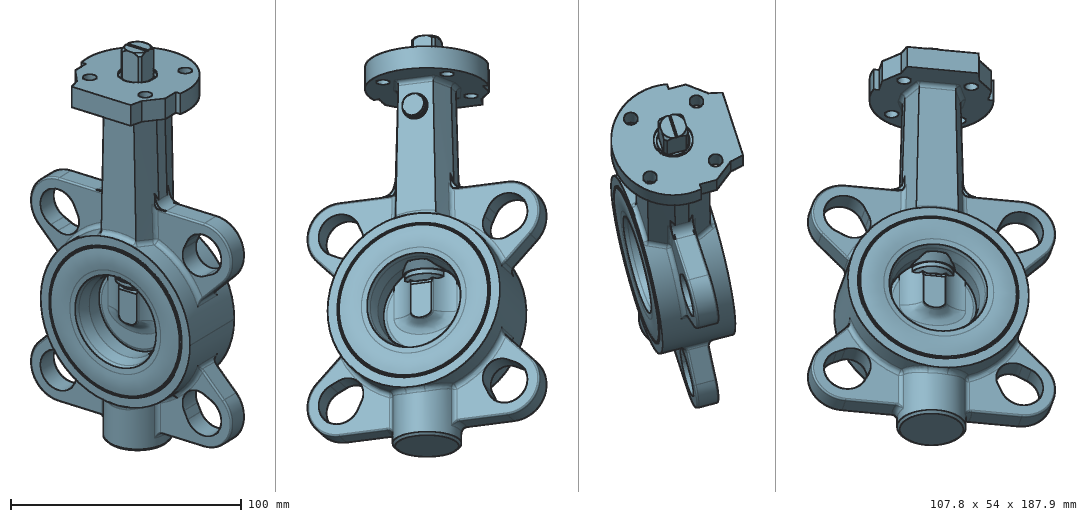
import cadquery as cq
import math


DIAGONAL = math.sqrt(0.5)

RING_RADIUS = 40.0
RING_LENGTH = 33.0
SEAT_GROOVE_RADIUS = 35.5
SEAT_GROOVE_DEPTH = 1.0
LINER_RADIUS = 35.0
LINER_EDGE_CHAMFER = 0.5
LINER_EDGE_PROUD = 0.2
LINER_PROUD = 0.7
LINER_MOUTH_RADIUS = 24.3
LINER_THROAT_RADIUS = 21.7
LINER_THROAT_DROP = 0.2
LINER_TAPER_RADIUS = 21.0
LINER_TAPER_DROP = 2.0
BORE_RADIUS = 19.5
BORE_HALF_LENGTH = 9.0
STEM_SEAT_TOP_Z = 20.0
STEM_SEAT_TOP_RADIUS = 13.0
STEM_SEAT_RADIUS = 10.2

DISC_FLAT_RADIUS = 18.0
DISC_HALF_THICKNESS = 2.0
DISC_RIM_HALF_THICKNESS = 1.4
DISC_SQUEEZE = 0.4
HUB_HALF_WIDTH = 4.75
HUB_HALF_THICKNESS = 7.3
HUB_WALL_TOP_INSET = 0.55
HUB_WALL_HEIGHT = 0.7
HUB_BASE_HALF_WIDTH = 14.6
HUB_END_Z = -1.9
HUB_END_FLATTENING = 0.6
HUB_TOP_Z = 12.5
HUB_TOP_CHAMFER = 1.5
HUB_TOP_CHAMFER_DEPTH = 0.5
COLLAR_RADIUS = 9.7
COLLAR_CONE_RADIUS = 7.5
COLLAR_TOP_Z = 16.6
COLLAR_CONE_TOP_Z = 14.4
COLLAR_BOTTOM_Z = 12.2

LUG_THICKNESS = 10.0
LUG_RADIUS = 15.0
LUG_PITCH_RADIUS = 55.0
LUG_HOLE_RADIUS = 9.5
LUG_EDGE_Z = LUG_PITCH_RADIUS * DIAGONAL + LUG_RADIUS
LUG_INNER_PITCH_RADIUS = 50.5
LUG_INNER_HOLE_RADIUS = 8.0
LUG_EDGE_ROUND = 0.8
NECK_GUSSET_RADIUS = 5.0
NECK_GUSSET_START_X = 18.4
NECK_GUSSET_SWEEP = 75.0
CAST_ROUND = 2.25
NECK_HEAD_ROUND = 2.0

NECK_FOOT_Z = 30.0
NECK_HEAD_Z = 103.1
NECK_FOOT_HALF_WIDTH = 14.4
NECK_HEAD_HALF_WIDTH = 12.25
NECK_FOOT_FLAT_HALF_WIDTH = 9.5
NECK_HEAD_FLAT_HALF_WIDTH = 8.0
NECK_HALF_DEPTH = 14.0
NECK_SIDE_HALF_DEPTH = 3.1

STUB_RADIUS = 15.0
STUB_BOTTOM_Z = -61.9
STUB_EDGE_CHAMFER = 1.2

FLANGE_TOP_Z = 113.1
FLANGE_THICKNESS = FLANGE_TOP_Z - NECK_HEAD_Z
FLANGE_RADIUS = 27.0
FLANGE_STEP_Y = -5.0
FLANGE_WAIST_HALF_WIDTH = 24.1
FLANGE_WAIST_END_Y = -12.7
FLANGE_TONGUE_ROOT = (17.3, -20.9)
FLANGE_TONGUE_HALF_WIDTH = 15.8
FLANGE_HOLE_CIRCLE_RADIUS = 21.0
FLANGE_HOLE_COUNT = 4
FLANGE_FIRST_HOLE_ANGLE = 45.0
FLANGE_HOLE_DIAMETER = 6.0
STEM_RECESS_DIAMETER = 17.0
STEM_RECESS_DEPTH = 1.0
STEM_BORE_DIAMETER = 14.35
STEM_BORE_DEPTH = 2.0

STEM_TOP_Z = 126.0
STEM_SQUARE = 11.0
STEM_DIAMETER = 14.0
STEM_CHAMFER = 1.3
MARK_WIDTH = 0.8
MARK_DEPTH = 0.3

PLUG_Z = 90.2
PLUG_BASE_DIAMETER = 11.2
PLUG_HEAD_DIAMETER = 10.0
PLUG_BASE_HEIGHT = 1.5
PLUG_HEIGHT = 3.4

TOUCH = 0.05

CORNERS = [(x, z) for x in (-1, 1) for z in (-1, 1)]


def mirror_x(body):
    """The body joined with its mirror image across the X = 0 plane."""
    return body.union(body.mirror("YZ"))


def mirror_y(body):
    """The body joined with its mirror image across the Y = 0 plane."""
    return body.union(body.mirror("XZ"))


def neck_section(z, half_width, flat_half_width):
    """Eight-sided neck outline at height z."""
    quarter = [(flat_half_width, NECK_HALF_DEPTH), (half_width, NECK_SIDE_HALF_DEPTH)]
    right = quarter + [(x, -y) for x, y in reversed(quarter)]
    left = [(-x, -y) for x, y in right]
    return cq.Workplane("XY", origin=(0, 0, z)).polyline(right + left).close()


def neck():
    """Tapered neck from inside the ring up to the flange."""
    foot = neck_section(NECK_FOOT_Z, NECK_FOOT_HALF_WIDTH, NECK_FOOT_FLAT_HALF_WIDTH).wires().vals()[0]
    head = neck_section(NECK_HEAD_Z, NECK_HEAD_HALF_WIDTH, NECK_HEAD_FLAT_HALF_WIDTH).wires().vals()[0]
    return cq.Workplane(cq.Solid.makeLoft([foot, head], True))


def lug_arm():
    """Upper right lug: a round end, a level top edge and a 45 degree edge down to the ring."""
    centre = LUG_PITCH_RADIUS * DIAGONAL
    slant_offset = LUG_RADIUS * DIAGONAL
    slant = (centre + slant_offset, centre - slant_offset)
    outer_middle = (centre + slant_offset, centre + slant_offset)
    return (
        cq.Workplane("XZ", origin=(0, LUG_THICKNESS / 2, 0))
        .lineTo(0, LUG_EDGE_Z)
        .lineTo(centre, LUG_EDGE_Z)
        .threePointArc(outer_middle, slant)
        .lineTo(slant[0] - slant[1], 0)
        .close()
        .extrude(LUG_THICKNESS)
    )


def neck_gusset():
    """Curved fillet between the top edge of the upper right lug and the neck."""

    def on_curve(degrees):
        sweep = math.radians(degrees)
        return (
            NECK_GUSSET_START_X - NECK_GUSSET_RADIUS * math.sin(sweep),
            LUG_EDGE_Z + NECK_GUSSET_RADIUS * (1 - math.cos(sweep)),
        )

    end = on_curve(NECK_GUSSET_SWEEP)
    rise_to_middle = end[0] * math.tan(math.radians(NECK_GUSSET_SWEEP))
    return (
        cq.Workplane("XZ", origin=(0, LUG_THICKNESS / 2, 0))
        .moveTo(NECK_GUSSET_START_X, LUG_EDGE_Z)
        .threePointArc(on_curve(NECK_GUSSET_SWEEP / 2), end)
        .lineTo(0, end[1] + rise_to_middle)
        .lineTo(0, LUG_EDGE_Z)
        .close()
        .extrude(LUG_THICKNESS)
    )


def lug_hole(x_sign, z_sign):
    """Tapered slot that wraps two hole circles on the same radial line."""
    taper = math.asin((LUG_HOLE_RADIUS - LUG_INNER_HOLE_RADIUS) / (LUG_PITCH_RADIUS - LUG_INNER_PITCH_RADIUS))
    outer = (
        LUG_PITCH_RADIUS - LUG_HOLE_RADIUS * math.sin(taper),
        LUG_HOLE_RADIUS * math.cos(taper),
    )
    inner = (
        LUG_INNER_PITCH_RADIUS - LUG_INNER_HOLE_RADIUS * math.sin(taper),
        LUG_INNER_HOLE_RADIUS * math.cos(taper),
    )
    angle = math.degrees(math.atan2(z_sign, x_sign))
    return (
        cq.Workplane("XZ", origin=(0, LUG_THICKNESS, 0))
        .moveTo(*outer)
        .threePointArc((LUG_PITCH_RADIUS + LUG_HOLE_RADIUS, 0), (outer[0], -outer[1]))
        .lineTo(inner[0], -inner[1])
        .threePointArc((LUG_INNER_PITCH_RADIUS - LUG_INNER_HOLE_RADIUS, 0), inner)
        .close()
        .extrude(2 * LUG_THICKNESS)
        .rotate((0, 0, 0), (0, 1, 0), -angle)
    )


def spans(edge):
    """Start, middle and end points of an edge."""
    return [edge.positionAt(fraction) for fraction in (0, 0.5, 1)]


def is_cast_corner(edge):
    """True for the inside corners where lugs, neck, stub and ring meet."""
    points = spans(edge)
    middle = points[1]
    on_ring = all(abs(math.hypot(p.x, p.z) - RING_RADIUS) < TOUCH for p in points)
    on_seam = on_ring and abs(middle.z) < TOUCH
    on_rim = abs(abs(middle.y) - RING_LENGTH / 2) < TOUCH
    near_stem = all(abs(p.x) < STUB_RADIUS + TOUCH for p in points)
    on_lug_face = all(abs(abs(p.y) - LUG_THICKNESS / 2) < TOUCH for p in points)
    on_lug_edge = all(abs(abs(p.z) - LUG_EDGE_Z) < TOUCH for p in points)
    meets_ring = on_ring and not on_seam and not on_rim
    meets_stem = near_stem and (on_lug_face or on_lug_edge)
    return meets_ring or meets_stem


def is_lug_rim(edge):
    """True for the outer outline of the lugs on their two faces."""
    points = spans(edge)
    on_lug_face = all(abs(abs(p.y) - LUG_THICKNESS / 2) < TOUCH for p in points)
    clear_of_ring = math.hypot(points[1].x, points[1].z) > RING_RADIUS + CAST_ROUND + TOUCH
    return on_lug_face and clear_of_ring and abs(points[1].x) > STUB_RADIUS + CAST_ROUND + TOUCH


def is_neck_head(edge):
    """True for the edges where the neck runs into the flange."""
    return all(
        abs(p.z - NECK_HEAD_Z) < TOUCH
        and abs(p.x) < NECK_HEAD_HALF_WIDTH + TOUCH
        and abs(p.y) < NECK_HALF_DEPTH + TOUCH
        for p in spans(edge)
    )


def casting():
    """Ring, stub, neck and lugs in one piece, rounded where they meet."""
    ring = cq.Workplane("XZ", origin=(0, RING_LENGTH / 2, 0)).circle(RING_RADIUS).extrude(RING_LENGTH)
    stub = cq.Workplane("XY", origin=(0, 0, STUB_BOTTOM_Z)).circle(STUB_RADIUS).extrude(-STUB_BOTTOM_Z)
    stub = stub.faces("<Z").chamfer(STUB_EDGE_CHAMFER)
    body = ring.union(stub).union(neck())
    upper_lugs = mirror_x(lug_arm())
    body = body.union(upper_lugs).union(upper_lugs.mirror("XY"))
    corners = [edge for edge in body.edges().vals() if is_cast_corner(edge)]
    body = body.newObject(corners).fillet(CAST_ROUND)
    rims = [edge for edge in body.edges().vals() if is_lug_rim(edge)]
    body = body.newObject(rims).fillet(LUG_EDGE_ROUND)
    body = body.union(mirror_x(neck_gusset()))
    for corner in CORNERS:
        body = body.cut(lug_hole(*corner))
    return body


def half_flange():
    """Right half of the mounting plate, which narrows in front to a straight tongue."""
    shoulder_x = math.sqrt(FLANGE_RADIUS**2 - FLANGE_STEP_Y**2)
    arc_middle = (FLANGE_RADIUS * DIAGONAL, FLANGE_RADIUS * DIAGONAL)
    return (
        cq.Workplane("XY", origin=(0, 0, NECK_HEAD_Z))
        .moveTo(0, FLANGE_RADIUS)
        .threePointArc(arc_middle, (shoulder_x, FLANGE_STEP_Y))
        .lineTo(FLANGE_WAIST_HALF_WIDTH, FLANGE_STEP_Y)
        .lineTo(FLANGE_WAIST_HALF_WIDTH, FLANGE_WAIST_END_Y)
        .lineTo(*FLANGE_TONGUE_ROOT)
        .lineTo(FLANGE_TONGUE_HALF_WIDTH, -FLANGE_RADIUS)
        .lineTo(0, -FLANGE_RADIUS)
        .close()
        .extrude(FLANGE_THICKNESS)
    )


def flange():
    return mirror_x(half_flange())


def flange_holes():
    return (
        cq.Workplane("XY", origin=(0, 0, NECK_HEAD_Z))
        .polarArray(FLANGE_HOLE_CIRCLE_RADIUS, FLANGE_FIRST_HOLE_ANGLE, 360, FLANGE_HOLE_COUNT)
        .circle(FLANGE_HOLE_DIAMETER / 2)
        .extrude(FLANGE_THICKNESS)
    )


def stem_recess():
    """Stepped round recess around the stem in the top of the flange."""
    recess = cq.Workplane("XY", origin=(0, 0, FLANGE_TOP_Z)).circle(STEM_RECESS_DIAMETER / 2)
    bore = cq.Workplane("XY", origin=(0, 0, FLANGE_TOP_Z)).circle(STEM_BORE_DIAMETER / 2)
    return recess.extrude(-STEM_RECESS_DEPTH).union(bore.extrude(-STEM_BORE_DEPTH))


def stem_end():
    """Round rod with four flats, a chamfered end and a shallow position mark."""
    base_z = FLANGE_TOP_Z - STEM_BORE_DEPTH
    height = STEM_TOP_Z - base_z
    rod = cq.Workplane("XY", origin=(0, 0, base_z)).circle(STEM_DIAMETER / 2).extrude(height)
    rod = rod.faces(">Z").chamfer(STEM_CHAMFER)
    square = cq.Workplane("XY", origin=(0, 0, base_z)).rect(STEM_SQUARE, STEM_SQUARE).extrude(height)
    mark = cq.Workplane("XY", origin=(0, 0, STEM_TOP_Z - MARK_DEPTH)).rect(STEM_SQUARE, MARK_WIDTH)
    return rod.intersect(square).cut(mark.extrude(MARK_DEPTH))


def plug():
    """Stepped round plug on the rear face of the neck."""
    start = cq.Workplane("XZ", origin=(0, NECK_HALF_DEPTH, PLUG_Z))
    base = start.circle(PLUG_BASE_DIAMETER / 2).extrude(-PLUG_BASE_HEIGHT)
    head = start.circle(PLUG_HEAD_DIAMETER / 2).extrude(-PLUG_HEIGHT)
    return base.union(head)


def seat_grooves():
    """Narrow gap between ring and liner on both end faces."""
    start = cq.Workplane("XZ", origin=(0, -RING_LENGTH / 2 + SEAT_GROOVE_DEPTH, 0))
    groove = start.circle(SEAT_GROOVE_RADIUS).circle(LINER_RADIUS).extrude(SEAT_GROOVE_DEPTH)
    return mirror_y(groove)


def liner_blank():
    """Plain cylinder that stands proud of the ring at both ends; the bore shapes its lips."""
    length = RING_LENGTH + 2 * LINER_PROUD
    return cq.Workplane("XZ", origin=(0, length / 2, 0)).circle(LINER_RADIUS).extrude(length)


def front_bore():
    """Space in front of the liner and inside it, as far as the middle of the valve."""
    face_y = -RING_LENGTH / 2
    edge_y = face_y - LINER_EDGE_PROUD
    edge_radius = LINER_RADIUS - LINER_EDGE_CHAMFER
    crest_radius = (edge_radius + LINER_MOUTH_RADIUS) / 2
    return (
        cq.Workplane("XY")
        .lineTo(0, face_y - 2 * LINER_PROUD)
        .lineTo(LINER_RADIUS, face_y - 2 * LINER_PROUD)
        .lineTo(LINER_RADIUS, edge_y + LINER_EDGE_CHAMFER)
        .lineTo(edge_radius, edge_y)
        .threePointArc((crest_radius, face_y - LINER_PROUD), (LINER_MOUTH_RADIUS, edge_y))
        .lineTo(LINER_THROAT_RADIUS, face_y + LINER_THROAT_DROP)
        .lineTo(LINER_TAPER_RADIUS, face_y + LINER_TAPER_DROP)
        .lineTo(BORE_RADIUS, -BORE_HALF_LENGTH)
        .lineTo(BORE_RADIUS, 0)
        .close()
        .revolve(360, (0, 0, 0), (0, 1, 0))
    )


def stem_seat():
    """Cone of the liner around the stem at the top of the bore."""
    return (
        cq.Workplane("XY", origin=(0, 0, COLLAR_TOP_Z))
        .circle(STEM_SEAT_RADIUS)
        .workplane(offset=STEM_SEAT_TOP_Z - COLLAR_TOP_Z)
        .circle(STEM_SEAT_TOP_RADIUS)
        .loft()
    )


def hub_profile(z):
    """Right half of the front hub section at height z: a flat top with a concave flank."""
    wall_foot = (HUB_HALF_WIDTH + HUB_WALL_TOP_INSET, -HUB_HALF_THICKNESS + HUB_WALL_HEIGHT)
    base = (HUB_BASE_HALF_WIDTH, -DISC_HALF_THICKNESS)
    width = base[0] - wall_foot[0]
    rise = base[1] - wall_foot[1]
    flank_radius = (width**2 + rise**2) / (2 * rise)
    half_sweep = math.atan2(rise, width)
    middle = (
        base[0] - flank_radius * math.sin(half_sweep),
        base[1] - flank_radius * (1 - math.cos(half_sweep)),
    )
    return (
        cq.Workplane("XY", origin=(0, 0, z))
        .lineTo(base[0], 0)
        .lineTo(*base)
        .threePointArc(middle, wall_foot)
        .lineTo(HUB_HALF_WIDTH, -HUB_HALF_THICKNESS)
        .lineTo(0, -HUB_HALF_THICKNESS)
        .close()
    )


def front_hub():
    """Hub that runs straight down from the stem and ends in a flattened half-round."""
    straight = mirror_x(hub_profile(HUB_END_Z).extrude(BORE_RADIUS - HUB_END_Z))
    inset_y = -HUB_HALF_THICKNESS + HUB_TOP_CHAMFER_DEPTH
    above_top = (
        cq.Workplane("YZ", origin=(-HUB_BASE_HALF_WIDTH, 0, 0))
        .moveTo(-HUB_HALF_THICKNESS, HUB_TOP_Z - HUB_TOP_CHAMFER)
        .lineTo(inset_y, HUB_TOP_Z)
        .lineTo(inset_y, BORE_RADIUS)
        .lineTo(-HUB_HALF_THICKNESS, BORE_RADIUS)
        .close()
        .extrude(2 * HUB_BASE_HALF_WIDTH)
    )
    round_end = hub_profile(0).revolve(360, (0, 0, 0), (0, 1, 0)).val()
    flatten = cq.Matrix([[1, 0, 0, 0], [0, 1, 0, 0], [0, 0, HUB_END_FLATTENING, HUB_END_Z]])
    round_end = cq.Workplane(round_end.transformGeometry(flatten))
    disc_room = cq.Workplane("XZ").circle(BORE_RADIUS).extrude(HUB_HALF_THICKNESS)
    return straight.cut(above_top).union(round_end).intersect(disc_room)


def collar():
    """Round shoulder of the stem above the hub, tapered at its lower end."""
    cone = (
        cq.Workplane("XY", origin=(0, 0, COLLAR_BOTTOM_Z))
        .circle(COLLAR_CONE_RADIUS)
        .workplane(offset=COLLAR_CONE_TOP_Z - COLLAR_BOTTOM_Z)
        .circle(COLLAR_RADIUS)
        .loft()
    )
    drum = cq.Workplane("XY", origin=(0, 0, COLLAR_CONE_TOP_Z)).circle(COLLAR_RADIUS)
    return cone.union(drum.extrude(COLLAR_TOP_Z - COLLAR_CONE_TOP_Z))


def disc():
    """Closed valve disc with its hubs and the stem collar."""
    front_plate = (
        cq.Workplane("XY")
        .lineTo(0, -DISC_HALF_THICKNESS)
        .lineTo(DISC_FLAT_RADIUS, -DISC_HALF_THICKNESS)
        .lineTo(BORE_RADIUS + DISC_SQUEEZE, -DISC_RIM_HALF_THICKNESS)
        .lineTo(BORE_RADIUS + DISC_SQUEEZE, 0)
        .close()
        .revolve(360, (0, 0, 0), (0, 1, 0))
    )
    return mirror_y(front_plate.union(front_hub())).union(collar())


result = casting().union(flange())
heads = [edge for edge in result.edges().vals() if is_neck_head(edge)]
result = result.newObject(heads).fillet(NECK_HEAD_ROUND)
result = result.cut(flange_holes()).cut(stem_recess()).union(stem_end()).union(plug())
result = result.union(liner_blank()).cut(seat_grooves()).cut(mirror_y(front_bore()))
result = result.union(stem_seat()).union(disc())